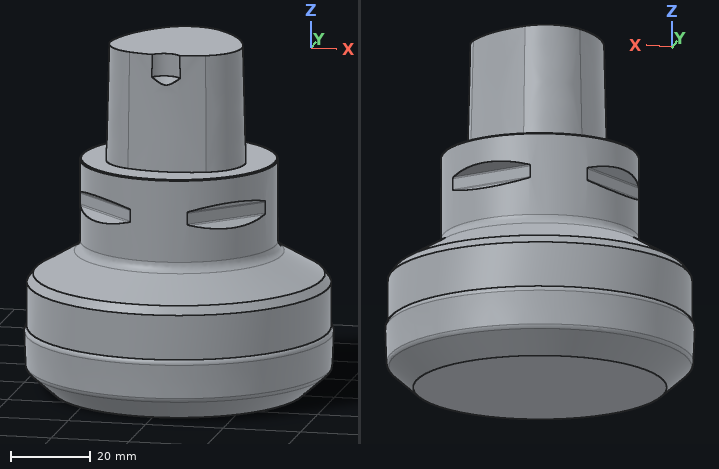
import cadquery as cq
import math


shank_length = 30.0
shank_taper = math.degrees(math.atan(1 / 40))
lobe_count = 3
lobe_spacing = 360 / lobe_count
lobe_reach = 18.72
side_reach = 16.28
lobe_radius = 11.7

notch_radius = 4.4
notch_axis_y = -17.9
notch_depth = 5.8
notch_tip_half_angle = 50.0

collar_radius = 50.0 / 2
collar_chamfer = 0.3
skirt_radius = 76.87 / 2
cone_slope = 30.0
cone_start_z = -23.0
cone_end_radius = 36.85
skirt_top_z = -32.0
holder_bottom_z = -43.5
neck_fillet = 3.0

groove_count = 4
groove_z = -10.0
groove_floor_height = 3.3
groove_floor_reach = 22.1
groove_side_angle = 30.0
groove_corner_fillet = 0.4

cutter_radius = 78.14 / 2
cutter_bottom_z = -59.95
cutter_face_radius = 32.0
cutter_lip_height = 1.2
cutter_wall_bottom_radius = 38.7
cutter_bevel_angle = 48.5
cutter_edge_fillet = 1.5

edge_margin = 0.1


def polar(distance, angle):
    return distance * math.cos(math.radians(angle)), distance * math.sin(math.radians(angle))


def edge_at(radius, z):
    """Selector for the circular edge of a turned body at one radius and height."""
    low = (-radius - edge_margin, -radius - edge_margin, z - edge_margin)
    high = (radius + edge_margin, radius + edge_margin, z + edge_margin)
    return cq.selectors.BoxSelector(low, high, boundingbox=True)


def make_shank():
    lobe_center = lobe_reach - lobe_radius
    lobe_center_x, lobe_center_drop = polar(lobe_center, lobe_spacing / 4)
    side_height = side_reach - lobe_center_drop
    height_excess = side_height - lobe_radius
    side_radius = (side_height ** 2 + lobe_center_x ** 2 - lobe_radius ** 2) / (2 * height_excess)
    center_gap = side_radius - lobe_radius
    lobe_half_angle = lobe_spacing / 2 - math.degrees(math.asin(lobe_center_x / center_gap))

    def joint(lobe_angle, side):
        center_x, center_y = polar(lobe_center, lobe_angle)
        offset_x, offset_y = polar(lobe_radius, lobe_angle + side * lobe_half_angle)
        return center_x + offset_x, center_y + offset_y

    lobe_angles = [90 + index * lobe_spacing for index in range(lobe_count)]
    outline = cq.Workplane("XY").moveTo(*joint(lobe_angles[0], -1))
    for angle in lobe_angles:
        outline = outline.threePointArc(polar(lobe_reach, angle), joint(angle, 1))
        side_middle = polar(side_reach, angle + lobe_spacing / 2)
        outline = outline.threePointArc(side_middle, joint(angle + lobe_spacing, -1))
    return outline.close().extrude(shank_length, taper=shank_taper)


def make_notch_cutter():
    tip_height = notch_radius / math.tan(math.radians(notch_tip_half_angle))
    floor_z = shank_length - notch_depth
    return (
        cq.Workplane("XZ")
        .polyline([
            (0, shank_length),
            (notch_radius, shank_length),
            (notch_radius, floor_z),
            (0, floor_z - tip_height),
        ])
        .close()
        .revolve(360, (0, 0), (0, 1))
        .translate((0, notch_axis_y, 0))
    )


def make_flange():
    cone_end_z = cone_start_z - (cone_end_radius - collar_radius) * math.tan(math.radians(cone_slope))
    profile = [
        (0, 0),
        (collar_radius - collar_chamfer, 0),
        (collar_radius, -collar_chamfer),
        (collar_radius, cone_start_z),
        (cone_end_radius, cone_end_z),
        (skirt_radius, skirt_top_z),
        (skirt_radius, holder_bottom_z),
        (0, holder_bottom_z),
    ]
    flange = cq.Workplane("XZ").polyline(profile).close().revolve(360, (0, 0), (0, 1))
    return flange.edges(edge_at(collar_radius, cone_start_z)).fillet(neck_fillet)


def make_groove_cutter():
    half_floor = groove_floor_height / 2
    depth = collar_radius - groove_floor_reach
    half_mouth = half_floor + depth * math.tan(math.radians(groove_side_angle))
    return (
        cq.Workplane("XZ")
        .polyline([
            (groove_floor_reach, groove_z - half_floor),
            (groove_floor_reach, groove_z + half_floor),
            (collar_radius, groove_z + half_mouth),
            (collar_radius, groove_z - half_mouth),
        ])
        .close()
        .extrude(collar_radius, both=True)
        .edges("|Y and <X")
        .fillet(groove_corner_fillet)
    )


def make_holder():
    holder = make_flange().union(make_shank()).cut(make_notch_cutter())
    for index in range(groove_count):
        angle = (index + 0.5) * 360 / groove_count
        holder = holder.cut(make_groove_cutter().rotate((0, 0, 0), (0, 0, 1), angle))
    return holder


def make_cutter():
    bevel_width = cutter_wall_bottom_radius - cutter_face_radius
    bevel_top_z = cutter_bottom_z + bevel_width / math.tan(math.radians(cutter_bevel_angle))
    lip_bottom_z = holder_bottom_z - cutter_lip_height
    lip_step = cutter_radius - skirt_radius
    lip_radius = (lip_step ** 2 + cutter_lip_height ** 2) / (2 * lip_step)
    lip_half_angle = math.degrees(math.asin(cutter_lip_height / lip_radius)) / 2
    lip_offset_x, lip_offset_z = polar(lip_radius, lip_half_angle)
    lip_middle = (cutter_radius - lip_radius + lip_offset_x, lip_bottom_z + lip_offset_z)
    cutter = (
        cq.Workplane("XZ")
        .moveTo(0, holder_bottom_z)
        .lineTo(skirt_radius, holder_bottom_z)
        .threePointArc(lip_middle, (cutter_radius, lip_bottom_z))
        .lineTo(cutter_wall_bottom_radius, bevel_top_z)
        .lineTo(cutter_face_radius, cutter_bottom_z)
        .lineTo(0, cutter_bottom_z)
        .close()
        .revolve(360, (0, 0), (0, 1))
    )
    return cutter.edges(edge_at(cutter_wall_bottom_radius, bevel_top_z)).fillet(cutter_edge_fillet)


holder = make_holder()
cutter = make_cutter()
result = cq.Compound.makeCompound([holder.val(), cutter.val()])